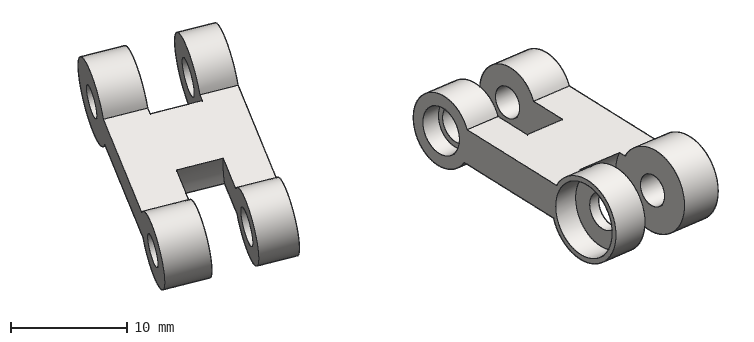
import cadquery as cq
import math

width = 12.1
pivot_spacing_x = 17.8
pivot_spacing_z = 2.02
bar_thickness = 3.3

large_knuckle_radius = 4.0
small_knuckle_radius = 3.49
front_hole_diameter = 3.0
back_hole_diameter = 3.5

large_front_length = 4.0
large_back_length = 3.44
small_front_length = 4.25
small_back_length = 3.66

large_bore_depth = 1.09
large_recess_radius = 3.5
small_bore_depth = 1.82
small_recess_radius = 2.27

large_slot_radius = 4.62
small_slot_radius = 6.92

large_pivot = (0, 0)
small_pivot = (pivot_spacing_x, pivot_spacing_z)


def cylinder_y(center, radius, y_start, y_end):
    """Cylinder along Y, centred at an (x, z) point, between two Y positions."""
    x, z = center
    base = cq.Workplane("XZ", origin=(x, y_start, z))
    return base.circle(radius).extrude(y_start - y_end)


def make_bar():
    """Flat bar running from pivot to pivot across the full width."""
    length = math.hypot(pivot_spacing_x, pivot_spacing_z)
    tilt = math.degrees(math.atan2(pivot_spacing_z, pivot_spacing_x))
    bar = cq.Workplane("XY").box(length, width, bar_thickness, centered=(False, False, True))
    return bar.rotate((0, 0, 0), (0, 1, 0), -tilt)


def add_knuckles(body, pivot, radius, slot_radius, front_length, back_length):
    """Add a full-width knuckle, split it with a round slot and bore both halves."""
    slot_end = width - back_length
    body = body.union(cylinder_y(pivot, radius, 0, width))
    body = body.cut(cylinder_y(pivot, slot_radius, front_length, slot_end))
    body = body.cut(cylinder_y(pivot, front_hole_diameter / 2, 0, front_length))
    return body.cut(cylinder_y(pivot, back_hole_diameter / 2, slot_end, width))


def cut_back_recess(body, pivot, radius, back_length, bore_depth):
    """Widen the outer part of a back bore, open on the +Y face."""
    recess_start = width - back_length + bore_depth
    return body.cut(cylinder_y(pivot, radius, recess_start, width))


result = make_bar()
result = add_knuckles(
    result, large_pivot, large_knuckle_radius, large_slot_radius, large_front_length, large_back_length
)
result = add_knuckles(
    result, small_pivot, small_knuckle_radius, small_slot_radius, small_front_length, small_back_length
)
result = cut_back_recess(
    result, large_pivot, large_recess_radius, large_back_length, large_bore_depth
)
result = cut_back_recess(
    result, small_pivot, small_recess_radius, small_back_length, small_bore_depth
)